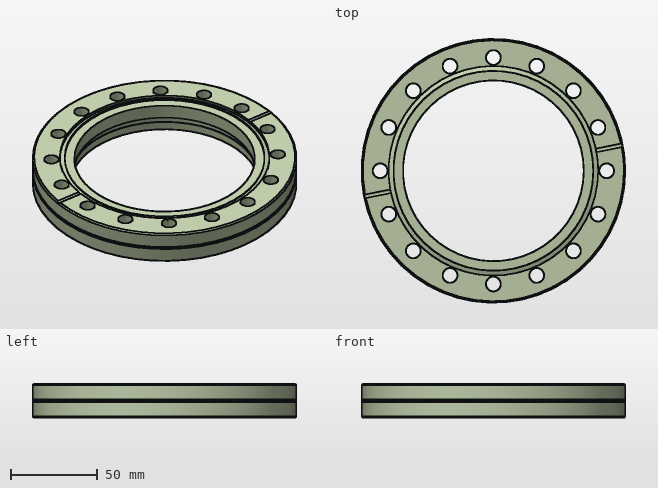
import cadquery as cq
import math

outer_radius = 76.0
thickness = 19.8
top_z = thickness / 2
bottom_z = -top_z
edge_chamfer = 0.9

lip_radius = 54.3

rim_groove_width = 1.5
rim_groove_depth = 0.3

bolt_count = 16
bolt_circle_radius = 65.2
bolt_hole_diameter = 8.4

leak_groove_radius = 1.2
leak_groove_depth = 0.6
leak_groove_angles = [180 / bolt_count, 180 + 180 / bolt_count]

insert_radius = 60.3
insert_bottom_z = top_z - 14.3
bore_radius = 52.0
socket_radius = 54.0
socket_top_z = top_z - 9.7

knife_radius = 57.6
knife_tip_z = top_z - 0.6
knife_slope_angle = 20.0
knife_inner_run = 0.2
insert_face_z = top_z - 1.2


def revolve_profile(points):
    """Revolve a closed (radius, z) outline about the Z axis."""
    return cq.Workplane("XZ").polyline(points).close().revolve(360, (0, 0, 0), (0, 1, 0))


def make_bolt_holes():
    return (
        cq.Workplane("XY", origin=(0, 0, bottom_z))
        .polarArray(bolt_circle_radius, 0, 360, bolt_count)
        .circle(bolt_hole_diameter / 2)
        .extrude(thickness)
    )


def make_leak_groove(angle):
    """Round-bottomed radial cutter that runs from the insert seat out past the rim."""
    axis_z = top_z + leak_groove_radius - leak_groove_depth
    start_radius = insert_radius - leak_groove_radius
    cutter = (
        cq.Workplane("YZ", origin=(start_radius, 0, axis_z))
        .circle(leak_groove_radius)
        .extrude(outer_radius - start_radius)
    )
    return cutter.rotate((0, 0, 0), (0, 0, 1), angle)


def make_outer_ring():
    """Rotatable bolt ring with a lip that supports the insert from below."""
    chamfer_radius = outer_radius - edge_chamfer
    ring = revolve_profile([
        (lip_radius, bottom_z),
        (chamfer_radius, bottom_z),
        (outer_radius, bottom_z + edge_chamfer),
        (outer_radius, -rim_groove_width / 2),
        (outer_radius - rim_groove_depth, 0),
        (outer_radius, rim_groove_width / 2),
        (outer_radius, top_z - edge_chamfer),
        (chamfer_radius, top_z),
        (insert_radius, top_z),
        (insert_radius, insert_bottom_z),
        (lip_radius, insert_bottom_z),
    ])
    ring = ring.cut(make_bolt_holes())
    for angle in leak_groove_angles:
        ring = ring.cut(make_leak_groove(angle))
    return ring


def make_insert():
    """Sealing ring with a knife edge above and a tube socket below."""
    knife_drop = (insert_radius - knife_radius) * math.tan(math.radians(knife_slope_angle))
    return revolve_profile([
        (socket_radius, insert_bottom_z),
        (insert_radius, insert_bottom_z),
        (insert_radius, knife_tip_z - knife_drop),
        (knife_radius, knife_tip_z),
        (knife_radius - knife_inner_run, insert_face_z),
        (bore_radius, insert_face_z),
        (bore_radius, socket_top_z),
        (socket_radius, socket_top_z),
    ])


outer_ring = make_outer_ring()
insert = make_insert()

result = cq.Compound.makeCompound([outer_ring.val(), insert.val()])